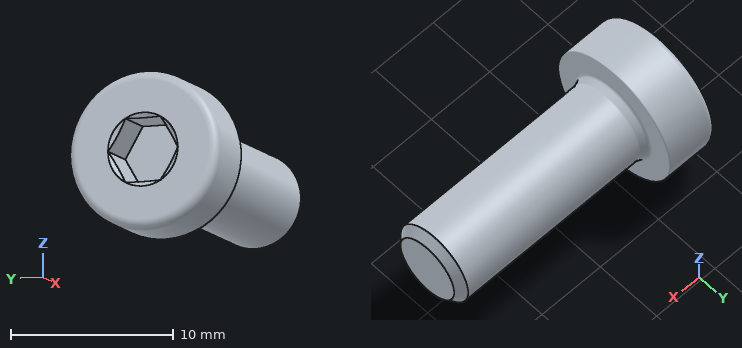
import cadquery as cq
import math

overall_length = 20.0
head_diameter = 10.0
head_height = 4.0
head_face_fillet = 0.6
head_bearing_fillet = 0.1

shank_diameter = 6.0
tip_chamfer = 0.613

neck_blend_radius = 0.25
neck_cone_length = 0.63
neck_cone_angle = math.radians(20.0)

socket_across_flats = 4.0
socket_depth = 3.0
lead_in_half_angle = math.radians(60.0)

head_radius = head_diameter / 2
shank_radius = shank_diameter / 2
socket_corner_radius = socket_across_flats / math.sqrt(3)

head_start = -overall_length / 2
bearing_face = head_start + head_height
shank_tip = overall_length / 2


def corner_arc_middle(x, radius, fillet, x_side):
    """Middle of a quarter-round that replaces the outer corner at (x, radius)."""
    offset = fillet * (1 - math.sqrt(0.5))
    return (x + x_side * offset, radius - offset)


def make_body():
    """Revolve the half profile of the head, neck and shank about X."""
    neck_end = bearing_face + neck_cone_length
    upper_end_x = bearing_face + neck_blend_radius * (1 - math.sin(neck_cone_angle))
    upper_end_radius = shank_radius + (neck_end - upper_end_x) * math.tan(neck_cone_angle)
    upper_start_radius = upper_end_radius + neck_blend_radius * math.cos(neck_cone_angle)
    upper_middle_angle = (math.pi / 2 - neck_cone_angle) / 2
    upper_middle = (
        bearing_face + neck_blend_radius * (1 - math.cos(upper_middle_angle)),
        upper_start_radius - neck_blend_radius * math.sin(upper_middle_angle),
    )

    tangent_length = neck_blend_radius * math.tan(neck_cone_angle / 2)
    lower_start = (
        neck_end - tangent_length * math.cos(neck_cone_angle),
        shank_radius + tangent_length * math.sin(neck_cone_angle),
    )
    lower_end_x = neck_end + tangent_length
    lower_middle = (
        lower_end_x - neck_blend_radius * math.sin(neck_cone_angle / 2),
        shank_radius + neck_blend_radius * (1 - math.cos(neck_cone_angle / 2)),
    )

    profile = (
        cq.Workplane("XY")
        .moveTo(head_start, 0)
        .lineTo(head_start, head_radius - head_face_fillet)
        .threePointArc(
            corner_arc_middle(head_start, head_radius, head_face_fillet, 1),
            (head_start + head_face_fillet, head_radius),
        )
        .lineTo(bearing_face - head_bearing_fillet, head_radius)
        .threePointArc(
            corner_arc_middle(bearing_face, head_radius, head_bearing_fillet, -1),
            (bearing_face, head_radius - head_bearing_fillet),
        )
        .lineTo(bearing_face, upper_start_radius)
        .threePointArc(upper_middle, (upper_end_x, upper_end_radius))
        .lineTo(*lower_start)
        .threePointArc(lower_middle, (lower_end_x, shank_radius))
        .lineTo(shank_tip - tip_chamfer, shank_radius)
        .lineTo(shank_tip, shank_radius - tip_chamfer)
        .lineTo(shank_tip, 0)
        .close()
    )
    return profile.revolve(360, (0, 0, 0), (1, 0, 0))


def make_hexagon_socket():
    """Hexagonal prism with corners along Y and flats facing +Z and -Z."""
    return (
        cq.Workplane("YZ", origin=(head_start, 0, 0))
        .polygon(6, 2 * socket_corner_radius)
        .extrude(socket_depth)
    )


def make_socket_lead_in():
    """Truncated cone narrowing inward from the hexagon corner circle.

    Its small end lies well inside the hexagon, so only the flats are relieved.
    """
    small_end_radius = socket_across_flats / 4
    lead_in_depth = (socket_corner_radius - small_end_radius) / math.tan(lead_in_half_angle)
    cone = cq.Solid.makeCone(
        socket_corner_radius,
        small_end_radius,
        lead_in_depth,
        pnt=cq.Vector(head_start, 0, 0),
        dir=cq.Vector(1, 0, 0),
    )
    return cq.Workplane(obj=cone)


result = make_body().cut(make_hexagon_socket()).cut(make_socket_lead_in())